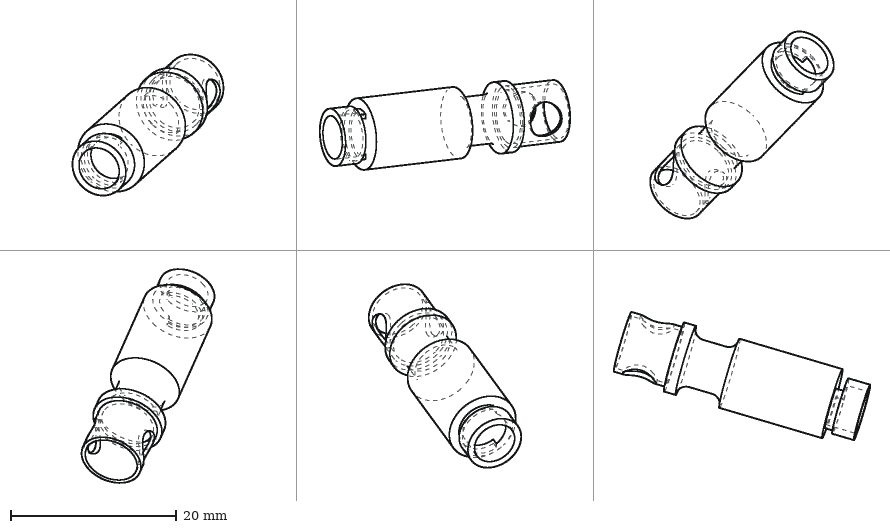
import cadquery as cq

length = 30.25
body_radius = 4.37

nose_end = 2.75
body_start = 3.75
waist_start = 16.75
waist_end = 22.25
tail_start = 23.75

nose_radius = 3.5
nose_bore_radius = 2.63
ring_radius = 3.12
window_x = 1.4

waist_radius = 3.0
waist_fillet = 1.3

tail_radius = 3.78
tail_bore_radius = 3.3
tail_bore_depth = length - tail_start
cross_hole_radius = 2.12
cross_hole_y = length - 3.25


def cylinder(radius, start, end):
    """Cylinder on the Y axis between two stations."""
    return cq.Workplane("XZ", origin=(0, start, 0)).circle(radius).extrude(start - end)


def body():
    """Body, filleted waist and collar, revolved about the Y axis."""
    diagonal = waist_fillet * (1 - 0.5 ** 0.5)
    mid_radius = waist_radius + diagonal
    profile = (
        cq.Workplane("XY")
        .moveTo(0, body_start)
        .lineTo(body_radius, body_start)
        .lineTo(body_radius, waist_start)
        .lineTo(waist_radius + waist_fillet, waist_start)
        .threePointArc(
            (mid_radius, waist_start + diagonal),
            (waist_radius, waist_start + waist_fillet),
        )
        .lineTo(waist_radius, waist_end - waist_fillet)
        .threePointArc((mid_radius, waist_end - diagonal), (waist_radius + waist_fillet, waist_end))
        .lineTo(body_radius, waist_end)
        .lineTo(body_radius, tail_start)
        .lineTo(0, tail_start)
        .close()
    )
    return profile.revolve(360, (0, 0, 0), (0, 1, 0))


def nose():
    """Nose cup and its ring, bored through to the body and open on the +X side."""
    window = cq.Workplane("XY").box(
        body_radius, body_start - nose_end, 2 * body_radius, centered=(False, False, True)
    ).translate((window_x, nose_end, 0))
    ring = cylinder(ring_radius, nose_end, body_start).cut(window)
    bore = cylinder(nose_bore_radius, 0, body_start)
    return cylinder(nose_radius, 0, nose_end).union(ring).cut(bore)


def tail():
    """Tail tube, pierced by the cross hole."""
    bore = cylinder(tail_bore_radius, length - tail_bore_depth, length)
    cross_hole = (
        cq.Workplane("YZ")
        .center(cross_hole_y, 0)
        .circle(cross_hole_radius)
        .extrude(body_radius, both=True)
    )
    return cylinder(tail_radius, tail_start, length).cut(bore).cut(cross_hole)


result = body().union(nose()).union(tail())